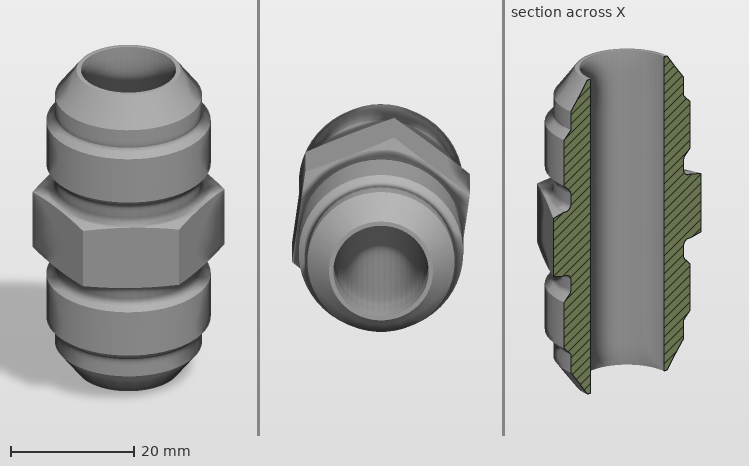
import cadquery as cq
import math

half_length = 27.45
bore_diameter = 15.5

neck_radius = 23.95 / 2
nose_length = 4.65
nose_half_angle = math.radians(37)
nose_tip_radius = neck_radius - nose_length * math.tan(nose_half_angle)

thread_radius = 26.75 / 2
lead_in = thread_radius - neck_radius
thread_start_z = 18.15
thread_end_z = 10.15

fillet_radius = 1.0
lead_in_angle = math.radians(45)

hex_across_flats = 27.0
hex_half_height = 5.6
hex_corner_radius = hex_across_flats / math.sqrt(3)
chamfer_start_radius = 13.45
corner_chamfer_angle = math.radians(13)


def make_end():
    """Revolve the upper end, from the mid plane to the nose tip."""
    blend_radial = fillet_radius * (1 - math.cos(lead_in_angle))
    runout_radius = neck_radius + blend_radial
    runout_z = thread_end_z - (thread_radius - runout_radius) / math.tan(lead_in_angle)
    groove_top_z = runout_z - fillet_radius * math.sin(lead_in_angle)
    blend_mid = (
        neck_radius + fillet_radius * (1 - math.cos(lead_in_angle / 2)),
        groove_top_z + fillet_radius * math.sin(lead_in_angle / 2),
    )

    fillet_outer_radius = neck_radius + fillet_radius
    groove_bottom_z = hex_half_height + fillet_radius
    fillet_mid = (
        fillet_outer_radius - fillet_radius * math.cos(math.pi / 4),
        groove_bottom_z - fillet_radius * math.sin(math.pi / 4),
    )

    return (
        cq.Workplane("XZ")
        .moveTo(0, 0)
        .lineTo(fillet_outer_radius, 0)
        .lineTo(fillet_outer_radius, hex_half_height)
        .threePointArc(fillet_mid, (neck_radius, groove_bottom_z))
        .lineTo(neck_radius, groove_top_z)
        .threePointArc(blend_mid, (runout_radius, runout_z))
        .lineTo(thread_radius, thread_end_z)
        .lineTo(thread_radius, thread_start_z)
        .lineTo(neck_radius, thread_start_z + lead_in)
        .lineTo(neck_radius, half_length - nose_length)
        .lineTo(nose_tip_radius, half_length)
        .lineTo(0, half_length)
        .close()
        .revolve(360, (0, 0), (0, 1))
    )


def make_hexagon():
    """Hexagon with flats facing +X and -X, its corners trimmed by two cones."""
    prism = (
        cq.Workplane("XY")
        .polygon(6, 2 * hex_corner_radius)
        .extrude(hex_half_height, both=True)
        .rotate((0, 0, 0), (0, 0, 1), 30)
    )
    corner_drop = (hex_corner_radius - chamfer_start_radius) * math.tan(corner_chamfer_angle)
    corner_z = hex_half_height - corner_drop
    envelope = (
        cq.Workplane("XZ")
        .moveTo(0, -hex_half_height)
        .lineTo(chamfer_start_radius, -hex_half_height)
        .lineTo(hex_corner_radius, -corner_z)
        .lineTo(hex_corner_radius, corner_z)
        .lineTo(chamfer_start_radius, hex_half_height)
        .lineTo(0, hex_half_height)
        .close()
        .revolve(360, (0, 0), (0, 1))
    )
    return prism.intersect(envelope)


upper_end = make_end()
lower_end = upper_end.mirror("XY")
bore = cq.Workplane("XY").circle(bore_diameter / 2).extrude(half_length, both=True)

result = make_hexagon().union(upper_end).union(lower_end).cut(bore)